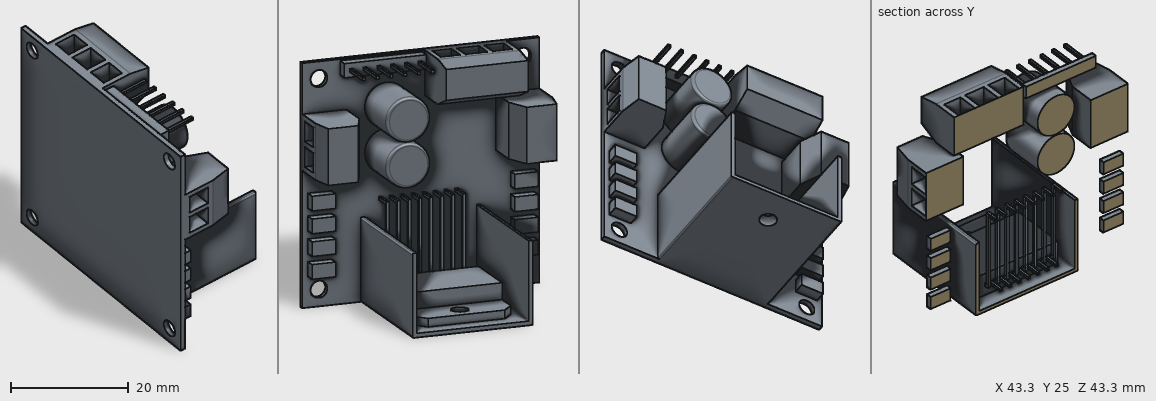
import cadquery as cq


BOARD_SIZE = 43.3
BOARD_THICK = 1.0
MOUNT_HOLE_D = 3.05
MOUNT_HOLE_INSET = 3.05
HALF = BOARD_SIZE / 2

TERMINAL_DEPTH = 8.0
TERMINAL_HEIGHT = 10.0
TERMINAL_SHOULDER = 6.0
TERMINAL_FRONT_SLOPE = 0.8
TERMINAL_BACK_SLOPE = 1.78
WIRE_HOLE_HEIGHT = 4.0
WIRE_HOLE_DEPTH = 5.0
WIRE_HOLE_RISE = 1.0
WIRE_HOLE_WALL = 1.0
SMALL_WIRE_HOLE = 3.5
LARGE_WIRE_HOLE = 4.0
TOP_TERMINAL_X = -15.67
SIDE_TERMINAL_Z = 2.65

HEADER_LENGTH = 15.0
HEADER_DEPTH = 2.5
HEADER_HEIGHT = 2.0
HEADER_X = 7.27
HEADER_TOP_GAP = 0.25
HEADER_PIN_COUNT = 6
HEADER_PIN_PITCH = 2.5
HEADER_PIN_HEIGHT = 8.0

CAPACITOR_D = 8.0
CAPACITOR_HEIGHT = 10.0
CAPACITOR_FILLET = 0.5
CAPACITOR_X = 6.25
LOWER_CAPACITOR_Z = 4.6
CAPACITOR_PITCH = 8.1

SINK_WIDTH = 22.0
SINK_DEPTH = 15.0
SINK_HEIGHT = 24.0
SINK_WALL = 0.8
SINK_OUTER_FILLET = 0.3
SINK_INNER_FILLET = 0.17

CHIP_WIDTH = 17.93
CHIP_BOTTOM = 5.02
CHIP_STEP = 15.95
CHIP_TOP = 22.1
CHIP_THICK = 4.5
TAB_THICK = 1.5
TAB_CORNER_X = 1.95
TAB_CORNER_Y = 2.15
TAB_HOLE_D = 3.05
TAB_HOLE_Y = 18.95

WIRE = 0.5

LEAD_COUNT = 15
LEAD_PITCH = 1.0
LEAD_ROW_X = LEAD_PITCH / 2
BENT_LEAD_Y = 4.6
BENT_LEAD_Z = -3.38

DIODE_LENGTH = 4.3
DIODE_WIDTH = 2.6
DIODE_HEIGHT = 2.0
DIODE_COUNT = 4
DIODE_PITCH = 4.03
DIODE_EDGE_GAP = 1.0
LOWEST_DIODE_Z = -14.8


def block(x, y, z):
    """Box filling the given (low, high) ranges."""
    size = [high - low for low, high in (x, y, z)]
    return cq.Workplane("XY").box(*size, centered=False).translate((x[0], y[0], z[0]))


def span(center, size):
    return center - size / 2, center + size / 2


def on_board(height):
    return BOARD_THICK, BOARD_THICK + height


def make_board():
    inset = HALF - MOUNT_HOLE_INSET
    corners = [(x, z) for x in (-inset, inset) for z in (-inset, inset)]
    holes = (
        cq.Workplane("XZ")
        .pushPoints(corners)
        .circle(MOUNT_HOLE_D / 2)
        .extrude(-BOARD_THICK)
    )
    return block((-HALF, HALF), (0, BOARD_THICK), (-HALF, HALF)).cut(holes)


def make_terminal(hole_widths):
    """Terminal starting at X = 0, with its wire holes opening on the board's top edge."""
    length = sum(hole_widths) + WIRE_HOLE_WALL * (len(hole_widths) + 1)
    shoulder = BOARD_THICK + TERMINAL_SHOULDER
    crown = BOARD_THICK + TERMINAL_HEIGHT
    back = HALF - TERMINAL_DEPTH
    terminal = (
        cq.Workplane("YZ")
        .moveTo(BOARD_THICK, HALF)
        .lineTo(shoulder, HALF)
        .lineTo(crown, HALF - TERMINAL_FRONT_SLOPE)
        .lineTo(crown, back + TERMINAL_BACK_SLOPE)
        .lineTo(shoulder, back)
        .lineTo(BOARD_THICK, back)
        .close()
        .extrude(length)
    )
    hole_bottom = BOARD_THICK + WIRE_HOLE_RISE
    hole_y = (hole_bottom, hole_bottom + WIRE_HOLE_HEIGHT)
    hole_start = WIRE_HOLE_WALL
    for width in hole_widths:
        hole_x = (hole_start, hole_start + width)
        terminal = terminal.cut(block(hole_x, hole_y, (HALF - WIRE_HOLE_DEPTH, HALF)))
        hole_start += width + WIRE_HOLE_WALL
    return terminal


def make_terminals():
    three_way = make_terminal([SMALL_WIRE_HOLE, LARGE_WIRE_HOLE, SMALL_WIRE_HOLE])
    two_way = make_terminal([SMALL_WIRE_HOLE, SMALL_WIRE_HOLE])
    left = two_way.rotate((0, 0, 0), (0, 1, 0), -90).translate((0, 0, SIDE_TERMINAL_Z))
    right = left.mirror("YZ")
    return three_way.translate((TOP_TERMINAL_X, 0, 0)).union(left).union(right)


def make_header():
    top = HALF - HEADER_TOP_GAP
    header_z = (top - HEADER_DEPTH, top)
    header = block(span(HEADER_X, HEADER_LENGTH), on_board(HEADER_HEIGHT), header_z)
    pin_z = span(top - HEADER_DEPTH / 2, WIRE)
    for i in range(HEADER_PIN_COUNT):
        pin_x = HEADER_X + (i - (HEADER_PIN_COUNT - 1) / 2) * HEADER_PIN_PITCH
        header = header.union(block(span(pin_x, WIRE), on_board(HEADER_PIN_HEIGHT), pin_z))
    return header


def make_capacitors():
    centers = [(0, 0), (0, CAPACITOR_PITCH)]
    return (
        cq.Workplane("XZ", origin=(CAPACITOR_X, BOARD_THICK, LOWER_CAPACITOR_Z))
        .pushPoints(centers)
        .circle(CAPACITOR_D / 2)
        .extrude(-CAPACITOR_HEIGHT)
        .faces(">Y")
        .edges()
        .fillet(CAPACITOR_FILLET)
    )


def make_heat_sink():
    inner_half = SINK_WIDTH / 2 - SINK_WALL
    rise = on_board(SINK_HEIGHT)
    sink_z = (-HALF, -HALF + SINK_DEPTH)
    outer = block(span(0, SINK_WIDTH), rise, sink_z).edges("|Y").fillet(SINK_OUTER_FILLET)
    trough = block((-inner_half, inner_half), rise, (-HALF + SINK_WALL, sink_z[1]))
    return outer.cut(trough.edges("|Y and <Z").fillet(SINK_INNER_FILLET))


def make_chip():
    base_z = -HALF + SINK_WALL
    half_width = CHIP_WIDTH / 2
    tab = (
        cq.Workplane("XY", origin=(0, 0, base_z))
        .moveTo(-half_width, CHIP_STEP)
        .lineTo(half_width, CHIP_STEP)
        .lineTo(half_width, CHIP_TOP - TAB_CORNER_Y)
        .lineTo(half_width - TAB_CORNER_X, CHIP_TOP)
        .lineTo(-half_width + TAB_CORNER_X, CHIP_TOP)
        .lineTo(-half_width, CHIP_TOP - TAB_CORNER_Y)
        .close()
        .extrude(TAB_THICK)
    )
    chip_z = (base_z, base_z + CHIP_THICK)
    return tab.union(block(span(0, CHIP_WIDTH), (CHIP_BOTTOM, CHIP_STEP), chip_z))


def make_leads():
    """Row of chip leads: every second one runs straight down, the others bend out along +Z."""
    exit_z = span(-HALF + SINK_WALL + CHIP_THICK / 2, WIRE)
    bend_y = (BENT_LEAD_Y - WIRE, BENT_LEAD_Y)
    leads = cq.Workplane("XY")
    for i in range(LEAD_COUNT):
        lead_x = span(LEAD_ROW_X + (i - (LEAD_COUNT - 1) / 2) * LEAD_PITCH, WIRE)
        if i % 2 == 0:
            leads = leads.union(block(lead_x, (bend_y[0], CHIP_BOTTOM), exit_z))
            leads = leads.union(block(lead_x, bend_y, (exit_z[0], BENT_LEAD_Z)))
            foot_z = (BENT_LEAD_Z - WIRE, BENT_LEAD_Z)
            leads = leads.union(block(lead_x, (BOARD_THICK, BENT_LEAD_Y), foot_z))
        else:
            leads = leads.union(block(lead_x, (BOARD_THICK, CHIP_BOTTOM), exit_z))
    return leads


def make_diodes():
    start = -HALF + DIODE_EDGE_GAP
    column = cq.Workplane("XY")
    for i in range(DIODE_COUNT):
        diode_z = span(LOWEST_DIODE_Z + i * DIODE_PITCH, DIODE_WIDTH)
        diode = block((start, start + DIODE_LENGTH), on_board(DIODE_HEIGHT), diode_z)
        column = column.union(diode)
    return column.union(column.mirror("YZ"))


tab_hole = (
    cq.Workplane("XY", origin=(0, TAB_HOLE_Y, -HALF))
    .circle(TAB_HOLE_D / 2)
    .extrude(SINK_DEPTH)
)
cooled_chip = make_heat_sink().union(make_chip()).union(make_leads()).cut(tab_hole)

result = (
    make_board()
    .union(make_terminals())
    .union(make_header())
    .union(make_capacitors())
    .union(cooled_chip)
    .union(make_diodes())
)